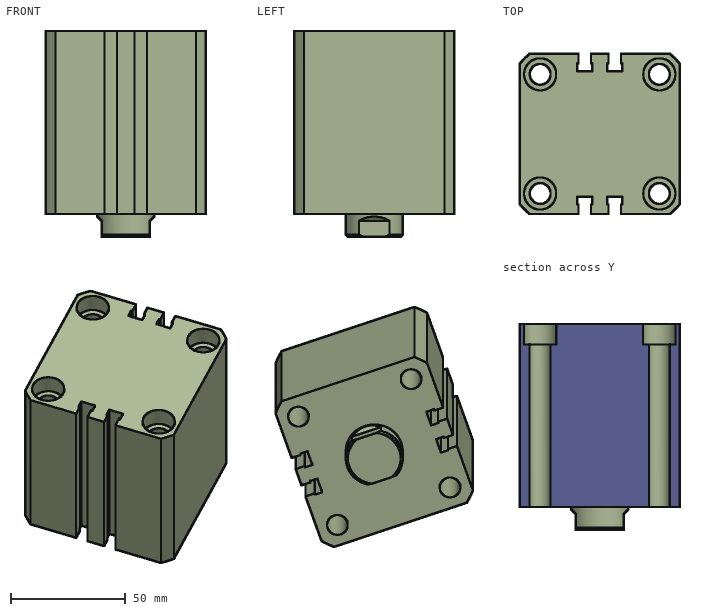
import cadquery as cq

TOTAL_HEIGHT = 90.0
HOUSING_WIDTH = 70.0
ROD_LENGTH = 10.0
HOUSING_HEIGHT = TOTAL_HEIGHT - ROD_LENGTH

CORNER_DIAMETER = 93.1

HOLE_PITCH = 52.0
HOLE_DIAMETER = 9.0
COUNTERBORE_DIAMETER = 14.0
COUNTERBORE_DEPTH = 9.0

SLOT_SPACING = 13.1
SLOT_MOUTH_WIDTH = 5.3
SLOT_INNER_WIDTH = 6.5
SLOT_LIP = 4.2
SLOT_DEPTH = 7.6

ROD_DIAMETER = 25.0
ROD_CHAMFER = 1.0
FLAT_WIDTH = 21.15
FLAT_RAMP_GAP = 1.1


def make_slot_cutter(x, side):
    """Full-height T-slot at x, opening on the +Y (side=1) or -Y (side=-1) face."""
    face_y = side * HOUSING_WIDTH / 2
    lip_y = side * (HOUSING_WIDTH / 2 - SLOT_LIP)
    floor_y = side * (HOUSING_WIDTH / 2 - SLOT_DEPTH)
    mouth = SLOT_MOUTH_WIDTH / 2
    inner = SLOT_INNER_WIDTH / 2
    return (
        cq.Workplane("XY")
        .moveTo(x - mouth, face_y)
        .lineTo(x - mouth, lip_y)
        .lineTo(x - inner, lip_y)
        .lineTo(x - inner, floor_y)
        .lineTo(x + inner, floor_y)
        .lineTo(x + inner, lip_y)
        .lineTo(x + mouth, lip_y)
        .lineTo(x + mouth, face_y)
        .close()
        .extrude(HOUSING_HEIGHT)
    )


def make_housing():
    """Square block with rounded corners, four counterbored holes and four T-slots."""
    block = cq.Workplane("XY").rect(HOUSING_WIDTH, HOUSING_WIDTH).extrude(HOUSING_HEIGHT)
    corner_envelope = cq.Workplane("XY").circle(CORNER_DIAMETER / 2).extrude(HOUSING_HEIGHT)
    housing = block.intersect(corner_envelope)

    housing = (
        housing.faces(">Z")
        .workplane(origin=(0, 0, HOUSING_HEIGHT))
        .rect(HOLE_PITCH, HOLE_PITCH, forConstruction=True)
        .vertices()
        .cboreHole(HOLE_DIAMETER, COUNTERBORE_DIAMETER, COUNTERBORE_DEPTH)
    )

    for side in (-1, 1):
        for x in (-SLOT_SPACING / 2, SLOT_SPACING / 2):
            housing = housing.cut(make_slot_cutter(x, side))
    return housing


def make_flat_cutter(side):
    """Wrench flat on the +X (side=1) or -X (side=-1) flank, with a 45 degree ramp above it."""
    outer_x = ROD_DIAMETER / 2
    flat_x = FLAT_WIDTH / 2
    ramp_top_z = -FLAT_RAMP_GAP
    ramp_bottom_z = ramp_top_z - (outer_x - flat_x)
    return (
        cq.Workplane("XZ")
        .moveTo(side * outer_x, ramp_top_z)
        .lineTo(side * flat_x, ramp_bottom_z)
        .lineTo(side * flat_x, -ROD_LENGTH)
        .lineTo(side * outer_x, -ROD_LENGTH)
        .close()
        .extrude(ROD_DIAMETER / 2, both=True)
    )


def make_rod():
    """Rod end below the housing, chamfered at its tip and with two wrench flats."""
    rod = cq.Workplane("XY").circle(ROD_DIAMETER / 2).extrude(-ROD_LENGTH)
    rod = rod.faces("<Z").chamfer(ROD_CHAMFER)
    for side in (-1, 1):
        rod = rod.cut(make_flat_cutter(side))
    return rod


housing = make_housing()
rod = make_rod()

result = cq.Compound.makeCompound([housing.val(), rod.val()])